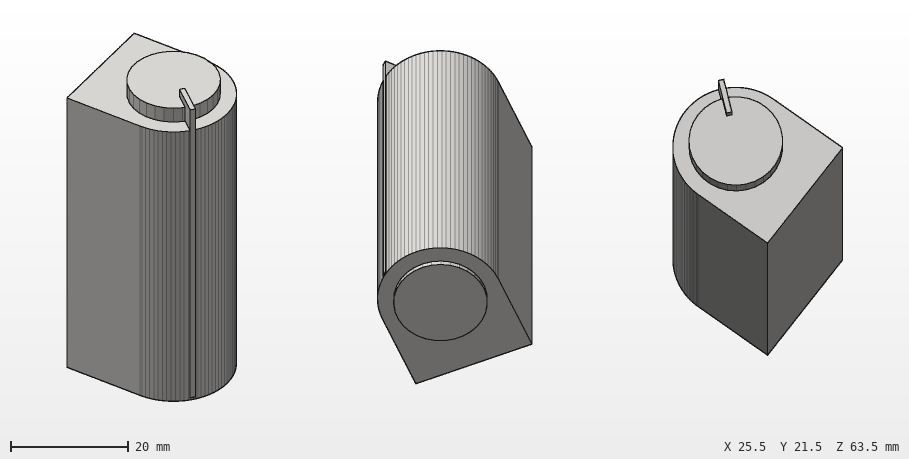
import cadquery as cq
import math

overall_height = 63.5

housing_radius = 10.765
housing_back = 14.765
housing_height = 58.0
housing_sides = 90

rod_radius = 8.0
rod_sides = 31
rod_below = 1.0
rod_above = 3.0

blade_angle = -40
blade_thickness = 0.95
blade_inner_radius = 4.75
blade_outer_radius = 10.825
blade_bottom = 0.5
blade_top = overall_height - rod_below


def make_housing():
    facet_angle = 360 / housing_sides
    corner_count = housing_sides // 2
    first_angle = -90 + facet_angle / 2
    corner_angles = [math.radians(first_angle + i * facet_angle) for i in range(corner_count)]
    round_side = [(housing_radius * math.cos(a), housing_radius * math.sin(a)) for a in corner_angles]
    block_side = [
        (0, housing_radius),
        (-housing_back, housing_radius),
        (-housing_back, -housing_radius),
        (0, -housing_radius),
    ]
    return cq.Workplane("XY").polyline(block_side + round_side).close().extrude(housing_height)


def make_rod():
    rod_length = rod_below + housing_height + rod_above
    rod_base = cq.Workplane("XY").workplane(offset=-rod_below)
    return rod_base.polygon(rod_sides, 2 * rod_radius).extrude(rod_length)


def make_blade():
    length = blade_outer_radius - blade_inner_radius
    height = blade_top - blade_bottom
    return (
        cq.Workplane("XY")
        .box(length, blade_thickness, height, centered=(False, True, False))
        .translate((blade_inner_radius, 0, blade_bottom))
        .rotate((0, 0, 0), (0, 0, 1), blade_angle)
    )


result = make_housing().union(make_rod()).union(make_blade())